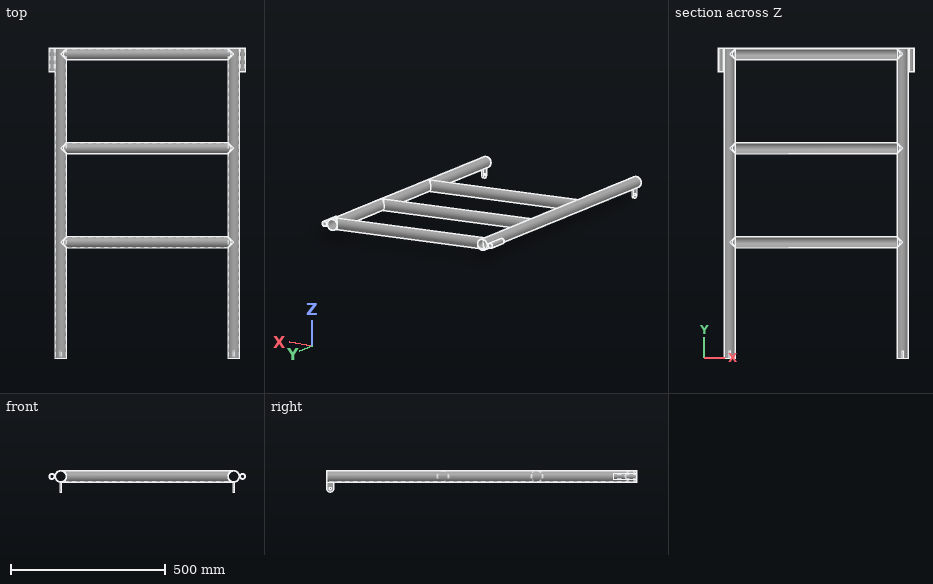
import cadquery as cq

length = 1003.0
overall_width = 635.0

tube_od = 38.0
tube_id = 34.0
tube_radius = tube_od / 2

rung_count = 3
rung_pitch = 304.0

sleeve_od = 19.0
sleeve_id = 14.0
sleeve_length = 76.0

lug_drop = 32.0
lug_width = 24.0
lug_thickness = 6.0
lug_hole_diameter = 6.7

back_y = length / 2
front_y = -length / 2
sleeve_x = (overall_width - sleeve_od) / 2
rail_x = sleeve_x - sleeve_od / 2 - tube_radius
lug_y = front_y + lug_width / 2
lug_bottom_z = -tube_radius - lug_drop
lug_round_z = lug_bottom_z + lug_width / 2


def rod_along_y(x, diameter, rod_length):
    """Solid cylinder at Z = 0 that runs forward from the back end."""
    return (
        cq.Workplane("XZ", origin=(x, back_y, 0))
        .circle(diameter / 2)
        .extrude(rod_length)
    )


def make_rail(side):
    """Long open tube on one side of the frame."""
    x = side * rail_x
    return rod_along_y(x, tube_od, length).cut(rod_along_y(x, tube_id, length))


def make_rung(y):
    """Cross tube with both ends coped to saddle the outside of the rails."""
    rung = (
        cq.Workplane("YZ", origin=(-rail_x, y, 0))
        .circle(tube_od / 2)
        .circle(tube_id / 2)
        .extrude(2 * rail_x)
    )
    for side in (-1, 1):
        rung = rung.cut(rod_along_y(side * rail_x, tube_od, length))
    return rung


def make_sleeve(side):
    """Short open tube touching the outer side of a rail."""
    x = side * sleeve_x
    outer = rod_along_y(x, sleeve_od, sleeve_length)
    return outer.cut(rod_along_y(x, sleeve_id, sleeve_length))


def make_lug(side):
    """Thin plate with a round lower end and a cross hole, fitted to the tube underside."""
    x = side * rail_x
    plate_start = (x - lug_thickness / 2, lug_y, lug_round_z)
    plate = (
        cq.Workplane("YZ", origin=plate_start)
        .moveTo(-lug_width / 2, -lug_round_z)
        .lineTo(-lug_width / 2, 0)
        .threePointArc((0, -lug_width / 2), (lug_width / 2, 0))
        .lineTo(lug_width / 2, -lug_round_z)
        .close()
        .extrude(lug_thickness)
    )
    hole = (
        cq.Workplane("YZ", origin=plate_start)
        .circle(lug_hole_diameter / 2)
        .extrude(lug_thickness)
    )
    return plate.cut(rod_along_y(x, tube_od, length)).cut(hole)


sides = (-1, 1)
rails = [make_rail(side) for side in sides]
rungs = [make_rung(back_y - tube_radius - i * rung_pitch) for i in range(rung_count)]
sleeves = [make_sleeve(side) for side in sides]
lugs = [make_lug(side) for side in sides]

result = cq.Compound.makeCompound(
    [body.solids().val() for body in rails + rungs + sleeves + lugs]
)